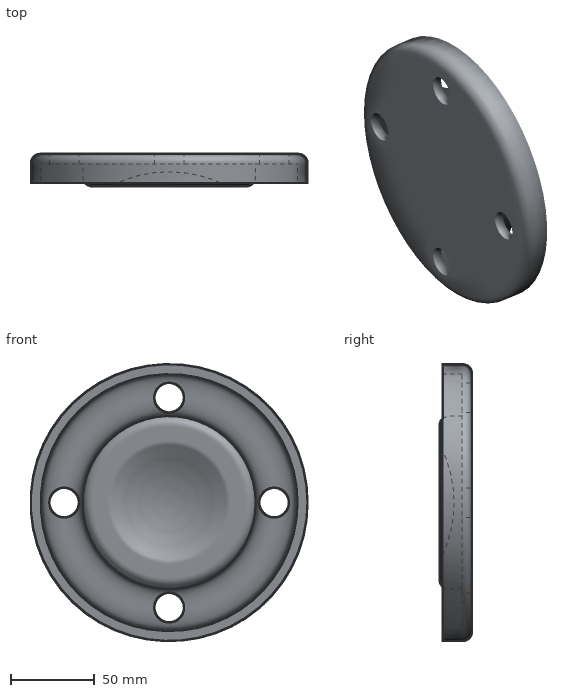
import cadquery as cq
import math

outer_radius = 82.5
overall_depth = 19.5
rim_depth = 17.5
rim_width = 6.0
floor_thickness = 6.0
edge_round = 6.0

hub_radius = 51.5
bowl_sphere_radius = 75.0
lip_round = 5.5
lip_radius = 36.5

hole_diameter = 17.5
hole_circle_radius = 62.5
hole_count = 4

back_y = overall_depth / 2
hub_face_y = -overall_depth / 2
rim_face_y = back_y - rim_depth
floor_y = back_y - floor_thickness
recess_radius = outer_radius - rim_width

center_distance = bowl_sphere_radius + lip_round
lip_angle = math.asin(lip_radius / center_distance)
bowl_center_y = hub_face_y + lip_round - center_distance * math.cos(lip_angle)


def round_midpoint(center_radius, center_y, y_sign):
    """Middle of a quarter-circle edge round in the (radius, Y) half plane."""
    reach = edge_round * math.sqrt(0.5)
    return center_radius + reach, center_y + y_sign * reach


def bowl_point(angle):
    """Point on the bowl sphere at an angle from the Y axis, as (radius, Y)."""
    return (
        bowl_sphere_radius * math.sin(angle),
        bowl_center_y + bowl_sphere_radius * math.cos(angle),
    )


def lip_point(angle):
    """Point on the lip round where its surface tilts by an angle from the hub face."""
    return (
        lip_radius - lip_round * math.sin(angle),
        hub_face_y + lip_round * (1 - math.cos(angle)),
    )


def make_body():
    """Revolve the half section of the disc, rim, recess, hub and bowl about Y."""
    back_round_start = outer_radius - edge_round
    hub_round_end = hub_radius - edge_round
    return (
        cq.Workplane("XY")
        .moveTo(0, back_y)
        .lineTo(back_round_start, back_y)
        .threePointArc(
            round_midpoint(back_round_start, back_y - edge_round, 1),
            (outer_radius, back_y - edge_round),
        )
        .lineTo(outer_radius, rim_face_y)
        .lineTo(recess_radius, rim_face_y)
        .lineTo(recess_radius, floor_y)
        .lineTo(hub_radius, floor_y)
        .lineTo(hub_radius, hub_face_y + edge_round)
        .threePointArc(
            round_midpoint(hub_round_end, hub_face_y + edge_round, -1),
            (hub_round_end, hub_face_y),
        )
        .lineTo(lip_radius, hub_face_y)
        .threePointArc(lip_point(lip_angle / 2), lip_point(lip_angle))
        .threePointArc(bowl_point(lip_angle / 2), bowl_point(0))
        .close()
        .revolve(360, (0, 0, 0), (0, 1, 0))
    )


def make_holes():
    """Cylinders along Y for the flange holes."""
    return (
        cq.Workplane("XZ", origin=(0, back_y, 0))
        .polarArray(hole_circle_radius, 0, 360, hole_count)
        .circle(hole_diameter / 2)
        .extrude(overall_depth)
    )


result = make_body().cut(make_holes())